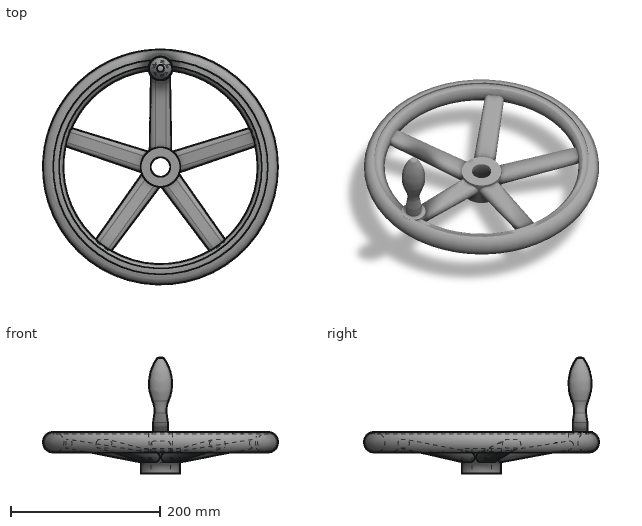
import cadquery as cq
import math

rim_radius = 157.5
rim_tube_radius = 14.0
rim_middle = 42.2
ledge_drop = 2.5
rim_center_radius = rim_radius - rim_tube_radius
rim_bottom = rim_middle - rim_tube_radius
rim_top = rim_middle + rim_tube_radius
ledge_height = rim_top - ledge_drop
ledge_inner_radius = rim_center_radius - math.sqrt(
    rim_tube_radius**2 - (ledge_height - rim_middle) ** 2
)

hub_radius = 26.5
hub_height = 34.0
bore_radius = 13.0

spoke_count = 5
first_spoke_angle = 90.0
spoke_flat_width = 14.5
spoke_start = 19.0
spoke_end = 135.5
spoke_start_thickness = 15.0
spoke_end_thickness = 11.3
spoke_start_bottom = 14.0
spoke_end_bottom = 35.5

handle_offset = 132.0
boss_radius = 16.0
boss_bottom = 29.5
shank_radius = 10.0
shank_top = 69.0
neck_radius = 8.2
neck_height = 82.0
throat_radius = 8.8
throat_height = 90.7
grip_start_radius = 11.0
grip_start_height = 97.5
grip_radius = 15.8
grip_middle_height = 122.0
tip_radius = 4.7
tip_height = 154.5
handle_top = 156.0


def make_rim():
    profile = (
        cq.Workplane("XZ")
        .moveTo(rim_center_radius, rim_bottom)
        .threePointArc((rim_radius, rim_middle), (rim_center_radius, rim_top))
        .lineTo(rim_center_radius, ledge_height)
        .lineTo(ledge_inner_radius, ledge_height)
        .threePointArc(
            (rim_center_radius - rim_tube_radius, rim_middle), (rim_center_radius, rim_bottom)
        )
        .close()
    )
    return profile.revolve(360, (0, 0, 0), (0, 1, 0))


def spoke_section(distance, bottom, thickness):
    plane = cq.Plane(
        origin=(distance, 0, bottom + thickness / 2), xDir=(0, 1, 0), normal=(1, 0, 0)
    )
    section = cq.Workplane(plane).slot2D(spoke_flat_width + thickness, thickness)
    return section.val()


def make_spoke(angle):
    inner = spoke_section(spoke_start, spoke_start_bottom, spoke_start_thickness)
    outer = spoke_section(spoke_end, spoke_end_bottom, spoke_end_thickness)
    bar = cq.Workplane(cq.Solid.makeLoft([inner, outer], True))
    return bar.rotate((0, 0, 0), (0, 0, 1), angle)


def make_handle():
    """Turned handle, from the bottom of the boss to the domed tip."""
    dome_height = handle_top - tip_height
    dome_radius = (tip_radius**2 + dome_height**2) / (2 * dome_height)
    half_angle = math.asin(tip_radius / dome_radius) / 2
    dome_point = (
        dome_radius * math.sin(half_angle),
        handle_top - dome_radius * (1 - math.cos(half_angle)),
    )
    profile = (
        cq.Workplane("XZ")
        .moveTo(0, boss_bottom)
        .lineTo(boss_radius, boss_bottom)
        .lineTo(boss_radius, rim_top)
        .lineTo(shank_radius, rim_top)
        .lineTo(shank_radius, shank_top)
        .lineTo(neck_radius, neck_height)
        .threePointArc((throat_radius, throat_height), (grip_start_radius, grip_start_height))
        .threePointArc((grip_radius, grip_middle_height), (tip_radius, tip_height))
        .threePointArc(dome_point, (0, handle_top))
        .close()
    )
    handle = profile.revolve(360, (0, 0, 0), (0, 1, 0))
    return handle.translate((0, handle_offset, 0))


wheel = make_rim().union(cq.Workplane("XY").circle(hub_radius).extrude(hub_height))
for index in range(spoke_count):
    wheel = wheel.union(make_spoke(first_spoke_angle + index * 360 / spoke_count))
wheel = wheel.union(make_handle())

bore = cq.Workplane("XY").circle(bore_radius).extrude(hub_height)
result = wheel.cut(bore)